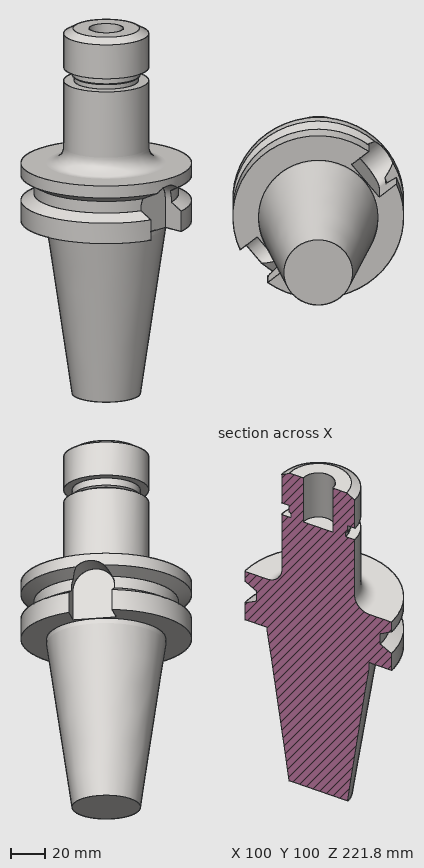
import cadquery as cq

total_length = 221.8
taper_length = 101.8
gauge_land = 3.0
flange_height = 35.0
lower_rim_height = 12.5
groove_flank_height = 4.0
upper_rim_height = 7.3
upper_flank_height = 4.2
shank_top_z = 190.0
neck_height = 2.7
thread_chamfer_height = 0.9
nut_height = 23.7
nut_chamfer_height = 3.0

gauge_diameter = 69.9
taper_ratio = 7 / 24
flange_diameter = 100.0
groove_diameter = 84.7
shank_diameter = 50.0
shank_fillet = 10.0
neck_diameter = 37.7
thread_diameter = 40.0
nut_chamfer_width = 5.5

bore_diameter = 20.0
bore_depth = total_length - shank_top_z
slot_width = 25.7
slot_top_z = 135.7
slot_floor_x = 35.5

flange_bottom_z = taper_length + gauge_land
flange_top_z = flange_bottom_z + flange_height


def holder_body():
    """Revolve the half profile of taper, flange, shank and clamping nut."""
    gauge_r = gauge_diameter / 2
    small_end_r = gauge_r - taper_length * taper_ratio / 2
    flange_r = flange_diameter / 2
    groove_r = groove_diameter / 2
    shank_r = shank_diameter / 2
    neck_r = neck_diameter / 2
    thread_r = thread_diameter / 2

    lower_rim_z = flange_bottom_z + lower_rim_height
    upper_rim_z = flange_top_z - upper_rim_height
    neck_top_z = shank_top_z + neck_height
    nut_bottom_z = total_length - nut_height

    profile = (
        cq.Workplane("XZ")
        .lineTo(small_end_r, 0)
        .lineTo(gauge_r, taper_length)
        .lineTo(gauge_r, flange_bottom_z)
        .lineTo(flange_r, flange_bottom_z)
        .lineTo(flange_r, lower_rim_z)
        .lineTo(groove_r, lower_rim_z + groove_flank_height)
        .lineTo(groove_r, upper_rim_z - upper_flank_height)
        .lineTo(flange_r, upper_rim_z)
        .lineTo(flange_r, flange_top_z)
        .lineTo(shank_r + shank_fillet, flange_top_z)
        .radiusArc((shank_r, flange_top_z + shank_fillet), shank_fillet)
        .lineTo(shank_r, shank_top_z)
        .lineTo(neck_r, shank_top_z)
        .lineTo(neck_r, neck_top_z)
        .lineTo(thread_r, neck_top_z + thread_chamfer_height)
        .lineTo(thread_r, nut_bottom_z)
        .lineTo(shank_r, nut_bottom_z)
        .lineTo(shank_r, total_length - nut_chamfer_height)
        .lineTo(shank_r - nut_chamfer_width, total_length)
        .lineTo(0, total_length)
        .close()
    )
    return profile.revolve(360, (0, 0, 0), (0, 1, 0))


def collet_bore():
    """Blind bore entering from the nut face."""
    return (
        cq.Workplane("XY", origin=(0, 0, total_length))
        .circle(bore_diameter / 2)
        .extrude(-bore_depth)
    )


def drive_slot():
    """Round-topped slot on the +X side, open at the flange underside."""
    half_width = slot_width / 2
    arc_start_z = slot_top_z - half_width
    return (
        cq.Workplane("YZ", origin=(slot_floor_x, 0, 0))
        .moveTo(-half_width, flange_bottom_z)
        .lineTo(half_width, flange_bottom_z)
        .lineTo(half_width, arc_start_z)
        .threePointArc((0, slot_top_z), (-half_width, arc_start_z))
        .close()
        .extrude(flange_diameter / 2)
    )


result = holder_body().cut(collet_bore())
for angle in (0, 180):
    slot = drive_slot().rotate((0, 0, 0), (0, 0, 1), angle)
    result = result.cut(slot)